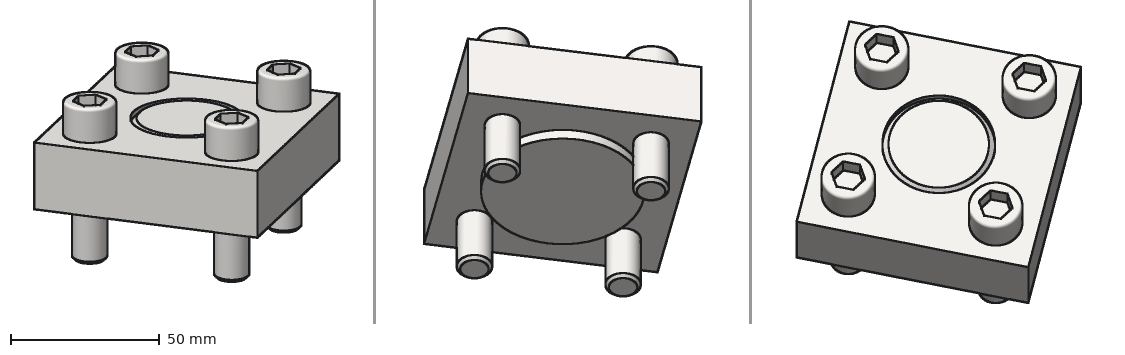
import cadquery as cq
import math

plate_side = 80.0
plate_thickness = 24.0

pitch_circle_diameter = 72.0
screw_diameter = 12.0
screw_tip_chamfer = 1.2
screw_overhang = 21.0
head_diameter = 18.0
head_height = screw_diameter
head_edge_fillet = 1.0
socket_across_flats = 10.0
socket_depth = head_height / 2

groove_outer_diameter = 38.0
groove_width = 2.1
groove_depth = groove_width

boss_diameter = 55.0
boss_height = 3.8


def make_plate():
    return cq.Workplane("XY").box(
        plate_side, plate_side, plate_thickness, centered=(True, True, False)
    ).translate((0, 0, -plate_thickness))


def make_boss():
    return (
        cq.Workplane("XY")
        .workplane(offset=-plate_thickness)
        .circle(boss_diameter / 2)
        .extrude(-boss_height)
    )


def make_rim_groove():
    """Ring with a vertical outer wall and an inner wall that slopes outward going down."""
    outer_radius = groove_outer_diameter / 2
    inner_radius = outer_radius - groove_width
    return (
        cq.Workplane("XZ")
        .moveTo(inner_radius, 0)
        .lineTo(outer_radius, 0)
        .lineTo(outer_radius, -groove_depth)
        .close()
        .revolve(360, (0, 0, 0), (0, 1, 0))
    )


def make_screw():
    """Screw on the Z axis, with its head seated on the plate."""
    shank = (
        cq.Workplane("XY")
        .circle(screw_diameter / 2)
        .extrude(-(plate_thickness + screw_overhang))
        .faces("<Z")
        .chamfer(screw_tip_chamfer)
    )
    head = (
        cq.Workplane("XY")
        .circle(head_diameter / 2)
        .extrude(head_height)
        .faces(">Z")
        .fillet(head_edge_fillet)
    )
    socket_across_corners = socket_across_flats / math.cos(math.pi / 6)
    socket = (
        cq.Workplane("XY")
        .workplane(offset=head_height)
        .polygon(6, socket_across_corners)
        .extrude(-socket_depth)
        .rotate((0, 0, 0), (0, 0, 1), 90)
    )
    return shank.union(head).cut(socket)


result = make_plate().union(make_boss()).cut(make_rim_groove())

screw_offset = pitch_circle_diameter / 2 / math.sqrt(2)
screw = make_screw()
for x_side in (-1, 1):
    for y_side in (-1, 1):
        result = result.union(screw.translate((x_side * screw_offset, y_side * screw_offset, 0)))